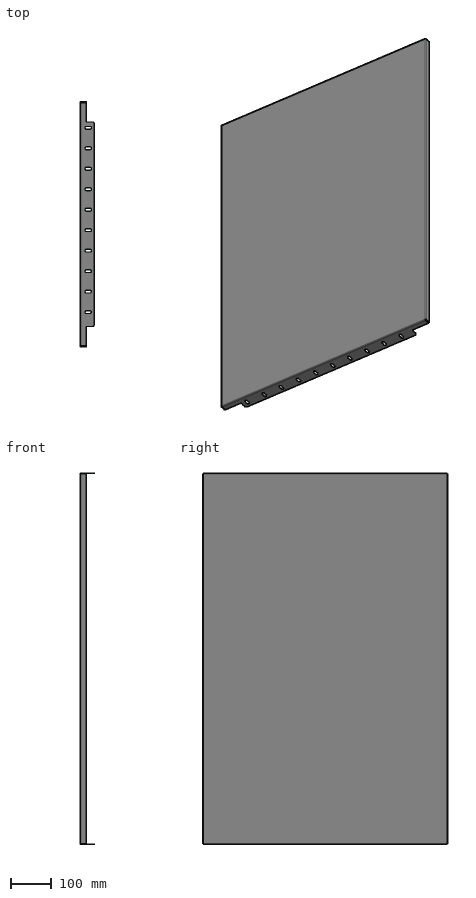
import cadquery as cq

panel_width = 599.0
panel_height = 907.0
overall_depth = 35.0
sheet = 1.5
bend_radius = 3.0

rim_depth = 15.0
corner_notch = 2.45

tab_length = 500.0
tab_corner_radius = 5.0

slot_count = 10
slot_pitch = tab_length / slot_count
slot_length = 15.0
slot_width = 6.0
slot_center_x = 20.0
slot_end_margin = 14.5


def centered_block(depth, width, height, start_x=0.0):
    """Block centered on Y and Z that runs toward +X from start_x."""
    block = cq.Workplane("XY").box(depth, width, height, centered=(False, True, True))
    return block.translate((start_x, 0, 0))


def make_tray():
    """Front sheet with a shallow rim bent back along all four sides."""
    outside = centered_block(rim_depth, panel_width, panel_height)
    outside = outside.faces("<X").edges().fillet(bend_radius)
    inside = centered_block(rim_depth, panel_width - 2 * sheet, panel_height - 2 * sheet, sheet)
    inside = inside.faces("<X").edges().fillet(bend_radius - sheet)
    return outside.cut(inside)


def make_tabs():
    """Matching tabs that extend the top and bottom rims, with rounded free corners."""
    tab_depth = overall_depth - rim_depth
    outline = centered_block(tab_depth, tab_length, panel_height, rim_depth)
    outline = outline.edges(">X and |Z").fillet(tab_corner_radius)
    gap = centered_block(tab_depth, tab_length, panel_height - 2 * sheet, rim_depth)
    return outline.cut(gap)


def make_corner_notches():
    """Square openings that separate the rims at the four corners."""
    notches = cq.Workplane("YZ").rect(panel_width, panel_height, forConstruction=True).vertices()
    return notches.rect(2 * corner_notch, 2 * corner_notch).extrude(rim_depth)


def make_slots():
    """Row of slots through both tabs, set closer to the +Y end."""
    first_y = tab_length / 2 - slot_end_margin
    centers = [(slot_center_x, first_y - i * slot_pitch) for i in range(slot_count)]
    row = cq.Workplane("XY").pushPoints(centers).slot2D(slot_length, slot_width)
    return row.extrude(panel_height / 2, both=True)


result = make_tray().union(make_tabs())
result = result.cut(make_corner_notches()).cut(make_slots())